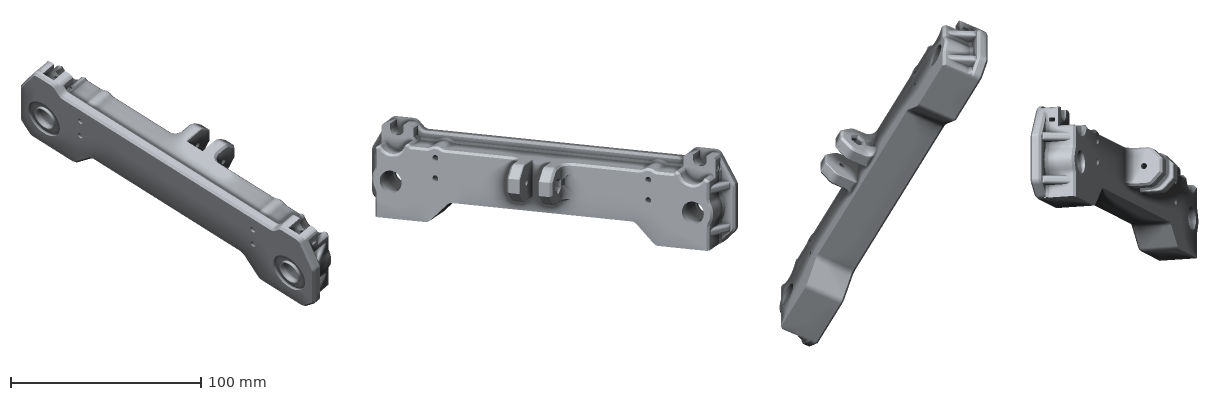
import cadquery as cq
import math

half_length = 102.5
lobe_height = 50.0
arm_bottom = 11.9
arm_top = 44.9
slant_start = 32.8
slant_angle = 60.0
bottom_corner = 7.5
lobe_foot_x = 64.2
lobe_shoulder_x = 78.5
plate_back = 6.2
plate_edge = 1.2
plate_corner_radius = 4.0

housing_half_length = 94.3
housing_top = 40.2
housing_back = 22.3
housing_edge = 1.2
housing_front = 2.9
foot_width = 1.0
foot_depth = 1.6
underside_spare = 3.0

hub_x = 85.3
hub_z = 19.99
hub_diameter = 22.0
hub_blend = 5.3
bore_diameter = 10.9
bore_mouth_diameter = 12.3
collar_diameter = 13.3
bore_lip = 2.9
rear_bore_diameter = 12.3
recess_depth = 1.6

screw_x = 60.0
screw_heights = (24.4, 35.5)
screw_diameter = 3.3
boss_diameter = 12.3
boss_blend = 4.5

post_top = 49.0
post_back = 12.7
post_inner_x = 76.3
post_corner_width = 3.0
post_corner_drop = 1.5
groove_x = 85.5
groove_width = 7.5
groove_floor = 42.6
tie_slot_bottom = 40.8
tie_slot_top = 42.8
tie_slot_front = 7.8
tie_slot_back = 11.0
saddle_drop = 10.0
saddle_inner_x = 77.7
saddle_floor = 35.0
saddle_ridge_x = 75.2
saddle_ridge_radius = 3.0
saddle_top = post_top - saddle_drop
shoulder_foot_x = 74.0

rib_heights = (9.0, 32.2)
rib_width = 4.5
rib_rounding = 1.6
rib_reach = 5.7
rib_back = 19.9

fork_tip = 41.0
fork_bottom = 19.7
fork_half_width = 12.7
fork_slot_width = 10.7
fork_root_radius = 5.0
fork_corner = 6.4
fork_corner_radius = 5.1
fork_outer_edge = 1.2
fork_inner_edge = 0.5
pin_y = 31.2
pin_z = 30.0
pin_diameter = 3.3
nut_flats = 5.5
nut_depth = 2.7
nut_lead = 1.2


def upright(y):
    """Sketch plane at depth y whose local axes are the part's X and Z; prisms run along +Y."""
    return cq.Workplane(cq.Plane(origin=(0, y, 0), xDir=(1, 0, 0), normal=(0, -1, 0)))


def prism(sketch, depth):
    return sketch.extrude(-depth)


def both_ends(solid):
    return solid.union(solid.mirror("YZ"))


def box(x_range, y_range, z_range):
    spans = [(min(r), max(r)) for r in (x_range, y_range, z_range)]
    sizes = [high - low for low, high in spans]
    corner = tuple(low for low, high in spans)
    return cq.Workplane("XY").box(*sizes, centered=False).translate(corner)


def bulge(sketch, center, base, outward, radius, blend):
    """Draw a round bulge standing out of a straight wall, blended into it by a concave arc on each side.

    base is the distance from the bulge centre to the wall; the path runs anticlockwise."""
    along = (-outward[1], outward[0])
    turn = math.acos((base + blend) / (radius + blend))
    reach = (radius + blend) * math.sin(turn)

    def place(side, height):
        return tuple(center[i] + side * along[i] + height * outward[i] for i in (0, 1))

    def blend_point(sign, angle):
        return place(sign * (reach - blend * math.sin(angle)), base + blend * (1 - math.cos(angle)))

    sketch = sketch.lineTo(*blend_point(-1, 0))
    sketch = sketch.threePointArc(blend_point(-1, turn / 2), blend_point(-1, turn))
    sketch = sketch.threePointArc(place(0, radius), blend_point(1, turn))
    return sketch.threePointArc(blend_point(1, turn / 2), blend_point(1, 0))


def housing_outline(y, crest):
    """Housing outline; crest draws the top of the left end from the shoulder to the end wall.

    The underside hangs below the plate, so that trimming to the plate outline leaves it flush."""
    sketch = upright(y).moveTo(0, housing_top)
    upper_screw = screw_heights[1]
    sketch = bulge(sketch, (-screw_x, upper_screw), housing_top - upper_screw, (0, 1),
                   boss_diameter / 2, boss_blend)
    sketch = crest(sketch.lineTo(-shoulder_foot_x, housing_top))
    sketch = bulge(sketch, (-hub_x, hub_z), housing_half_length - hub_x, (-1, 0),
                   hub_diameter / 2, hub_blend)
    low_arm = arm_bottom - underside_spare
    sketch = sketch.lineTo(-housing_half_length, -underside_spare).lineTo(-lobe_foot_x, -underside_spare)
    return sketch.lineTo(arm_bottom - lobe_foot_x, low_arm).lineTo(0, low_arm).mirrorY()


def corner_radius():
    return (post_corner_width ** 2 + post_corner_drop ** 2) / (2 * post_corner_drop)


def outer_corner(sketch, top):
    """Round corner that falls from the given top onto the end wall."""
    return sketch.radiusArc((-housing_half_length, top - post_corner_drop), -corner_radius())


def post_crest(sketch):
    """45 degree shoulder, then the post block with both upper corners rounded."""
    shoulder = housing_top + post_inner_x - shoulder_foot_x
    corner_start = post_top - post_corner_drop
    sketch = sketch.lineTo(-post_inner_x, shoulder).lineTo(-post_inner_x, corner_start)
    sketch = sketch.radiusArc((-post_inner_x - post_corner_width, post_top), -corner_radius())
    sketch = sketch.lineTo(post_corner_width - housing_half_length, post_top)
    return outer_corner(sketch, post_top)


def saddle_crest(sketch):
    """Rounded ridge on the shoulder, then a trough that ends at the lowered outer corner."""
    corner_x = housing_half_length - post_corner_width
    saddle_middle = (corner_x + saddle_inner_x) / 2
    sketch = sketch.lineTo(-saddle_ridge_x, housing_top + saddle_ridge_x - shoulder_foot_x)
    sketch = sketch.radiusArc((-saddle_inner_x, housing_top), -saddle_ridge_radius)
    sketch = sketch.threePointArc((-saddle_middle, saddle_floor), (-corner_x, saddle_top))
    return outer_corner(sketch, saddle_top)


def plain_crest(sketch):
    return sketch.lineTo(-housing_half_length, housing_top)


def make_slab(thickness):
    """Slab with the plate's outline and rounded corners."""
    slant_run = (lobe_height - slant_start) / math.tan(math.radians(slant_angle))
    shoulder_end = lobe_shoulder_x - (lobe_height - arm_top)
    half = [
        (0, arm_top), (-shoulder_end, arm_top), (-lobe_shoulder_x, lobe_height),
        (slant_run - half_length, lobe_height), (-half_length, slant_start),
        (-half_length, bottom_corner), (bottom_corner - half_length, 0), (-lobe_foot_x, 0),
        (arm_bottom - lobe_foot_x, arm_bottom), (0, arm_bottom),
    ]
    slab = prism(upright(0).polyline(half).mirrorY(), thickness)
    return slab.edges("|Y").fillet(plate_corner_radius)


def plate_relief():
    """Space above the posts, where the plate stays thin."""
    above = box((-housing_half_length, -post_inner_x), (housing_front, post_back),
                (post_top - post_corner_drop, lobe_height))
    return both_ends(above)


def make_plate():
    plate = make_slab(plate_back).faces("<Y or >Y").edges().chamfer(plate_edge)
    return plate.cut(plate_relief())


def make_housing():
    """Post layer, saddle layer and bevelled back, standing on a sloped foot behind the plate."""
    edge_start = housing_back - housing_edge
    posts = prism(housing_outline(housing_front, post_crest), post_back - housing_front)
    saddle = prism(housing_outline(post_back, saddle_crest), edge_start - post_back)
    back_edge = housing_outline(edge_start, saddle_crest).extrude(-housing_edge, taper=45)
    foot_taper = math.degrees(math.atan2(foot_width, foot_depth))
    foot = housing_outline(plate_back, plain_crest).offset2D(foot_width)
    foot = foot.extrude(-foot_depth, taper=foot_taper)
    housing = posts.union(saddle).union(back_edge).union(foot)
    return housing.intersect(make_slab(housing_back))


def make_ribs():
    """Wedges with a rounded ridge that prop the end walls against the plate."""
    wall = housing_half_length
    foot_y = plate_back + plate_edge
    ridge_middle = (-wall - rib_reach / 2, (rib_back + foot_y) / 2)
    profile = [
        (-wall + rib_width, rib_back), (-wall, rib_back), (-wall - rib_reach, foot_y),
        (-wall - rib_reach, plate_back - plate_edge), (-wall + rib_width, plate_back - plate_edge),
    ]

    def on_ridge(edge):
        middle = edge.Center()
        return math.dist((middle.x, middle.y), ridge_middle) < 0.2

    rib = cq.Workplane("XY").polyline(profile).close().extrude(rib_width / 2, both=True)
    rib = rib.edges("not |Z").filter(on_ridge).fillet(rib_rounding)
    ribs = cq.Workplane("XY")
    for height in rib_heights:
        ribs = ribs.union(rib.translate((0, 0, height)))
    return both_ends(ribs)


def fork_pin_cuts():
    """Cross hole, with a hexagonal nut pocket and its flared approach on the -X tine."""
    side = cq.Plane(origin=(-fork_half_width, pin_y, pin_z), xDir=(0, 0, 1), normal=(-1, 0, 0))
    across_corners = 1 / math.cos(math.radians(30))
    pin = cq.Workplane(side).circle(pin_diameter / 2).extrude(-2 * fork_half_width)
    nut = cq.Workplane(side).polygon(6, nut_flats * across_corners).extrude(-nut_depth)
    mouth = cq.Workplane(side).polygon(6, (nut_flats + 2 * nut_lead) * across_corners)
    mouth = mouth.extrude(-nut_lead, taper=45)
    half_floor = nut_flats * across_corners / 4
    half_mouth = half_floor + fork_root_radius
    outer_x = -fork_half_width - fork_root_radius
    flare = upright(housing_back).polyline([
        (-fork_half_width, pin_z - half_floor), (outer_x, pin_z - half_mouth),
        (outer_x, pin_z + half_mouth), (-fork_half_width, pin_z + half_floor),
    ]).close()
    return pin.union(nut).union(mouth).union(prism(flare, fork_root_radius))


def make_fork():
    """Two tines with rounded roots, bevelled tips and softened edges."""
    root_y = housing_back - 2 * housing_edge
    root_x = fork_half_width + fork_root_radius
    half_slot = fork_slot_width / 2
    plan = (
        cq.Workplane("XY", origin=(0, 0, fork_bottom)).moveTo(0, root_y).lineTo(-root_x, root_y)
        .lineTo(-root_x, housing_back)
        .radiusArc((-fork_half_width, housing_back + fork_root_radius), -fork_root_radius)
        .lineTo(-fork_half_width, fork_tip).lineTo(0, fork_tip).mirrorY()
    )
    fork = plan.extrude(housing_top - fork_bottom)
    fork = fork.edges("|X and >Y").chamfer(fork_corner)
    fork = fork.edges("|X").edges(cq.selectors.BoxSelector(
        (-fork_half_width, fork_tip - fork_corner - 0.2, 0),
        (fork_half_width, fork_tip - fork_corner + 0.2, lobe_height))).fillet(fork_corner_radius)

    def on_outer_side(edge):
        middle = edge.Center()
        across_side = edge.geomType() == "LINE" and abs(edge.tangentAt(0).z) > 0.99
        if abs(middle.x) < fork_half_width - 0.2 or middle.y < housing_back + 0.2:
            return False
        return not across_side or middle.y > fork_tip - 0.2

    def on_slot_side(edge):
        middle = edge.Center()
        return abs(abs(middle.x) - half_slot) < 0.02 and middle.y > housing_back + 0.2

    fork = fork.edges().filter(on_outer_side).chamfer(fork_outer_edge)
    fork = fork.cut(box((-half_slot, half_slot), (housing_back, fork_tip), (0, lobe_height)))
    fork = fork.edges().filter(on_slot_side).chamfer(fork_inner_edge)
    return fork.cut(fork_pin_cuts())


def hub_cuts():
    """Ring recess around a flush collar, and the bore, bevelled in front and wider behind its lip."""
    hub = upright(0).center(-hub_x, hub_z)
    recess = prism(hub.circle(hub_diameter / 2).circle(collar_diameter / 2), recess_depth)
    bore = prism(hub.circle(bore_diameter / 2), housing_back)
    bevel = (bore_mouth_diameter - bore_diameter) / 2
    mouth = hub.circle(bore_mouth_diameter / 2).extrude(-bevel, taper=45)
    rear_bore = prism(upright(bore_lip).center(-hub_x, hub_z).circle(rear_bore_diameter / 2),
                      housing_back - bore_lip)
    return both_ends(recess.union(bore).union(mouth).union(rear_bore))


def screw_cuts():
    places = [(side * screw_x, height) for side in (-1, 1) for height in screw_heights]
    return prism(upright(0).pushPoints(places).circle(screw_diameter / 2), housing_back)


def clamp_cuts():
    """U groove between the posts, and the cable tie slot through both."""
    half_groove = groove_width / 2
    groove_axis = groove_floor + half_groove
    depths = (housing_front, post_back)
    groove = prism(upright(housing_front).center(-groove_x, groove_axis).circle(half_groove),
                   post_back - housing_front)
    groove = groove.union(box((-groove_x - half_groove, -groove_x + half_groove), depths,
                              (groove_axis, lobe_height)))
    tie_slot = box((-half_length, -post_inner_x + post_corner_width), (tie_slot_front, tie_slot_back),
                   (tie_slot_bottom, tie_slot_top))
    return both_ends(groove.union(tie_slot))


def build():
    part = make_plate().union(make_housing()).union(make_ribs()).union(make_fork())
    return part.cut(clamp_cuts()).cut(hub_cuts()).cut(screw_cuts())


result = build()